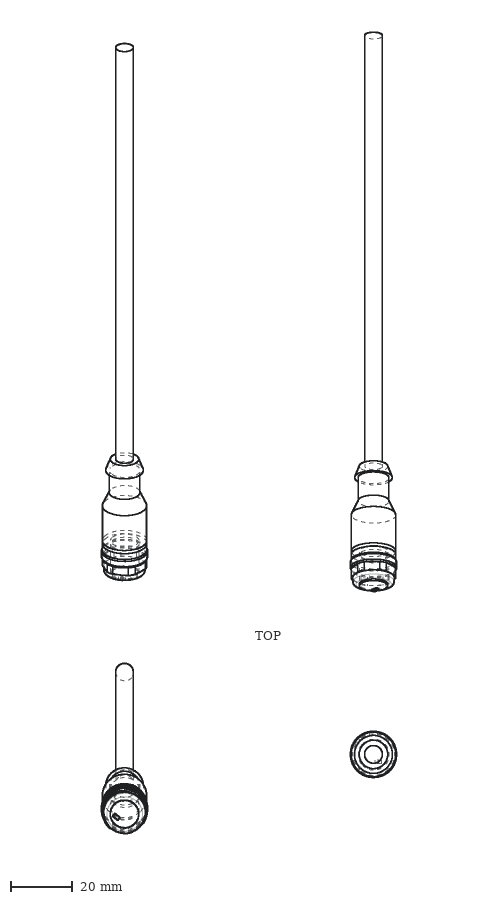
import cadquery as cq
import math

cable_radius = 2.9
cable_top_z = 192.0

boot_top_z = 42.2
boot_top_radius = 4.6
flare_bottom_z = 38.2
flare_radius = 6.1
boot_neck_radius = 5.0
shoulder_top_z = 30.1
shoulder_bottom_z = 25.3
grip_diameter = 14.4
grip_radius = grip_diameter / 2
grip_bottom_z = 12.7

spigot_radius = 4.6
spigot_bottom_z = 0.5
key_length = 2.1
key_width = 1.2
key_x = 1.5
key_y = -2.3

nut_radius = grip_radius
nut_top_z = 11.5
nut_bottom_z = 1.2
band_radius = 7.5
band_chamfer_height = 0.5
band_top_z = 9.5
band_bottom_z = 6.3
flats_bottom_z = 3.5
nose_radius = 6.7
nose_rounding = 1.0
flat_count = 6
flat_half_span = 20.5
flat_angle = 12.0


def revolve_profile(points):
    """Turn a closed (radius, z) outline about the Z axis."""
    return cq.Workplane("XZ").polyline(points).close().revolve(360, (0, 0, 0), (0, 1, 0))


def make_cable():
    """Round cable standing on the top face of the boot."""
    length = cable_top_z - boot_top_z
    return cq.Workplane("XY").workplane(offset=boot_top_z).circle(cable_radius).extrude(length)


def make_housing():
    """Boot, neck, grip and spigot turned as one piece, with the key below."""
    turned = revolve_profile([
        (0, spigot_bottom_z),
        (spigot_radius, spigot_bottom_z),
        (spigot_radius, grip_bottom_z),
        (grip_radius, grip_bottom_z),
        (grip_radius, shoulder_bottom_z),
        (boot_neck_radius, shoulder_top_z),
        (boot_neck_radius, flare_bottom_z),
        (flare_radius, flare_bottom_z),
        (boot_top_radius, boot_top_z),
        (0, boot_top_z),
    ])
    key = (
        cq.Workplane("XY")
        .center(key_x, key_y)
        .rect(key_length, key_width)
        .extrude(spigot_bottom_z)
    )
    return turned.union(key)


def make_flats_cutter():
    """Ring outside a hexagonal prism, which cuts all the spanner flats at once."""
    flat_distance = nut_radius * math.cos(math.radians(flat_half_span))
    corner_diameter = 2 * flat_distance / math.cos(math.pi / flat_count)
    height = band_bottom_z - flats_bottom_z
    base = cq.Workplane("XY").workplane(offset=flats_bottom_z)
    hexagon = base.polygon(flat_count, corner_diameter).extrude(height)
    half_pitch = 180 / flat_count
    hexagon = hexagon.rotate((0, 0, 0), (0, 0, 1), flat_angle - half_pitch)
    return base.circle(band_radius).extrude(height).cut(hexagon)


def make_nut():
    """Coupling nut fitting closely around the spigot."""
    turned = revolve_profile([
        (0, nut_bottom_z),
        (nose_radius, nut_bottom_z),
        (nose_radius, flats_bottom_z),
        (nut_radius, flats_bottom_z),
        (nut_radius, band_bottom_z),
        (band_radius, band_bottom_z + band_chamfer_height),
        (band_radius, band_top_z - band_chamfer_height),
        (nut_radius, band_top_z),
        (nut_radius, nut_top_z),
        (0, nut_top_z),
    ])
    rounded = turned.faces("<Z").edges().fillet(nose_rounding)
    bore_height = nut_top_z - nut_bottom_z
    bore = (
        cq.Workplane("XY")
        .workplane(offset=nut_bottom_z)
        .circle(spigot_radius)
        .extrude(bore_height)
    )
    return rounded.cut(make_flats_cutter()).cut(bore)


cable = make_cable()
housing = make_housing()
nut = make_nut()

result = cq.Compound.makeCompound([cable.val(), housing.val(), nut.val()])